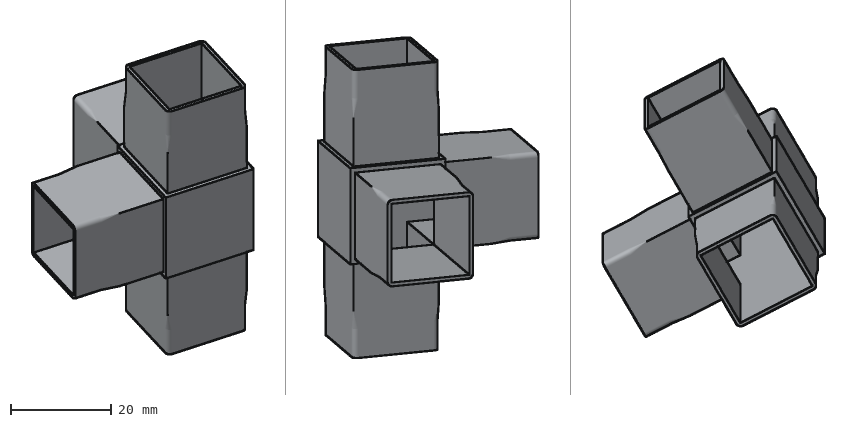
import cadquery as cq

LENGTH = 60.0
CUBE = LENGTH / 3
ARM_LENGTH = (LENGTH - CUBE) / 2
ARM_WIDTH = 18.0
BORE_WIDTH = 16.4

CORNER_RADIUS = 1.0
ROUND_LENGTH = 6.0
FADE_LENGTH = ARM_LENGTH / 2 - ROUND_LENGTH
FADED_RADIUS = 0.01

ARM_TIP = LENGTH / 2
ARM_DIRECTIONS = [
    ((1, 0, 0), 0),
    ((1, 0, 0), 180),
    ((0, 1, 0), -90),
    ((1, 0, 0), 90),
]


def corner_profile(workplane, radius):
    """Draw the sliver between a square arm corner and its rounding arc."""
    corner = ARM_WIDTH / 2
    tangent = corner - radius
    arc_middle = tangent + radius / 2**0.5
    return (
        workplane.moveTo(corner, tangent)
        .lineTo(corner, corner)
        .lineTo(tangent, corner)
        .threePointArc((arc_middle, arc_middle), (corner, tangent))
        .close()
    )


def corner_cutter():
    """Material removed from one corner: constant rounding, then a fading one."""
    tip_plane = cq.Workplane("XY", origin=(0, 0, ARM_TIP))
    fade_plane = cq.Workplane("XY", origin=(0, 0, ARM_TIP - ROUND_LENGTH))
    straight = corner_profile(tip_plane, CORNER_RADIUS).extrude(-ROUND_LENGTH)
    fade_start = corner_profile(fade_plane, CORNER_RADIUS)
    fade_end = corner_profile(fade_start.workplane(offset=-FADE_LENGTH, origin=(0, 0, 0)), FADED_RADIUS)
    return straight.union(fade_end.loft(ruled=True))


def make_arm():
    """Solid upright arm from the cube centre to its tip."""
    arm = cq.Workplane("XY").rect(ARM_WIDTH, ARM_WIDTH).extrude(ARM_TIP)
    cutter = corner_cutter()
    for angle in range(0, 360, 90):
        arm = arm.cut(cutter.rotate((0, 0, 0), (0, 0, 1), angle))
    return arm


def make_bore():
    """Square bore from an arm tip to the far wall of the central cavity."""
    return (
        cq.Workplane("XY", origin=(0, 0, -BORE_WIDTH / 2))
        .rect(BORE_WIDTH, BORE_WIDTH)
        .extrude(ARM_TIP + BORE_WIDTH / 2)
    )


def point_along(shape, direction):
    """Turn an upright shape to one of the arm directions."""
    axis, angle = direction
    return shape.rotate((0, 0, 0), axis, angle)


body = cq.Workplane("XY").box(CUBE, CUBE, CUBE)
for direction in ARM_DIRECTIONS:
    body = body.union(point_along(make_arm(), direction))
for direction in ARM_DIRECTIONS:
    body = body.cut(point_along(make_bore(), direction))

result = body